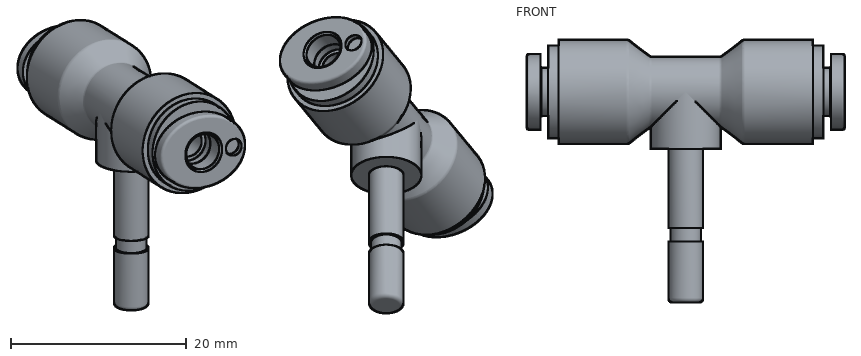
import cadquery as cq

HALF_LENGTH = 18.1
TOTAL_HEIGHT = 29.95

BODY_DIA = 11.9
BODY_HALF = 14.48
WAIST_DIA = 8.0
CONE_FOOT_X = 4.0
CONE_TOP_X = 6.55
CONE_FOOT_ROUND = 0.35
CONE_TOP_ROUND = 0.55
BRANCH_BOTTOM_Z = -6.48
FLOW_BORE_DIA = 3.2

STEM_DIA = 4.0
STEM_BOTTOM_Z = BODY_DIA / 2 - TOTAL_HEIGHT
STEM_END_ROUND = 0.5
GROOVE_DIA = 3.5
GROOVE_TOP_Z = -15.5
GROOVE_WIDTH = 1.52

RING_DIA = 10.6
RING_WIDTH = 1.2

FLANGE_WIDTH = 10.82
FLANGE_HEIGHT = 8.65
FLANGE_THICKNESS = 1.6
FLANGE_ROUND = 0.3
NECK_DIA = 5.5
NECK_ROOT_BEVEL = 0.1
TUBE_BORE_DIA = 4.2
TUBE_BORE_DEPTH = 2.43
TUBE_BORE_CHAMFER = 0.25
INNER_BORE_DIA = 4.15
DIMPLE_DIA = 2.0
DIMPLE_OFFSET = 3.85
DIMPLE_DEPTH = 0.72

FLANGE_BACK_X = HALF_LENGTH - FLANGE_THICKNESS


def x_cylinder(diameter, start, end):
    """Round bar on the run axis between two X positions."""
    return cq.Workplane("YZ", origin=(start, 0, 0)).circle(diameter / 2).extrude(end - start)


def z_cylinder(diameter, start, end):
    """Round bar on the stem axis between two Z positions."""
    return cq.Workplane("XY", origin=(0, 0, start)).circle(diameter / 2).extrude(end - start)


def circle_at(x, radius):
    """Selector for the circular edge around the run axis at one X position."""
    margin = 0.018
    corner = radius + margin
    return cq.selectors.BoxSelector(
        (x - margin, -corner, -corner), (x + margin, corner, corner), boundingbox=True
    )


def make_half_run():
    """+X half of the run: waist, blended cone and enlarged end."""
    profile = [
        (0, 0),
        (0, WAIST_DIA / 2),
        (CONE_FOOT_X, WAIST_DIA / 2),
        (CONE_TOP_X, BODY_DIA / 2),
        (BODY_HALF, BODY_DIA / 2),
        (BODY_HALF, 0),
    ]
    half_run = cq.Workplane("XY").polyline(profile).close().revolve(360, (0, 0, 0), (1, 0, 0))
    half_run = half_run.edges(circle_at(CONE_TOP_X, BODY_DIA / 2)).fillet(CONE_TOP_ROUND)
    return half_run.edges(circle_at(CONE_FOOT_X, WAIST_DIA / 2)).fillet(CONE_FOOT_ROUND)


def make_stem():
    """Plug-in stem with a retaining groove and a rounded free end."""
    stem = z_cylinder(STEM_DIA, STEM_BOTTOM_Z, 0).faces("<Z").edges().fillet(STEM_END_ROUND)
    groove_bottom_z = GROOVE_TOP_Z - GROOVE_WIDTH
    groove = z_cylinder(STEM_DIA, groove_bottom_z, GROOVE_TOP_Z)
    groove = groove.cut(z_cylinder(GROOVE_DIA, groove_bottom_z, GROOVE_TOP_Z))
    return stem.cut(groove)


def make_body():
    """Tee housing with its branch, stem and flow bore."""
    half_run = make_half_run()
    run = half_run.union(half_run.mirror("YZ"))
    branch = z_cylinder(WAIST_DIA, BRANCH_BOTTOM_Z, 0)
    flow_bore = x_cylinder(FLOW_BORE_DIA, -BODY_HALF, BODY_HALF)
    return run.union(branch).union(make_stem()).cut(flow_bore)


def make_ring():
    """Ring on the +X end face of the body, around the collar neck."""
    ring_outer_x = BODY_HALF + RING_WIDTH
    ring = x_cylinder(RING_DIA, BODY_HALF, ring_outer_x)
    return ring.cut(x_cylinder(NECK_DIA, BODY_HALF, ring_outer_x))


def make_collar():
    """Release collar of the +X end: oval flange, round neck, stepped bore and dimple."""
    flange = (
        cq.Workplane("YZ", origin=(FLANGE_BACK_X, 0, 0))
        .ellipse(FLANGE_WIDTH / 2, FLANGE_HEIGHT / 2)
        .extrude(FLANGE_THICKNESS)
        .faces(">X").edges().fillet(FLANGE_ROUND)
    )
    collar = flange.union(x_cylinder(NECK_DIA, BODY_HALF, FLANGE_BACK_X))
    collar = collar.edges(circle_at(FLANGE_BACK_X, NECK_DIA / 2)).chamfer(NECK_ROOT_BEVEL)

    bore_step_x = HALF_LENGTH - TUBE_BORE_DEPTH
    collar = collar.cut(x_cylinder(INNER_BORE_DIA, BODY_HALF, bore_step_x))
    collar = collar.cut(x_cylinder(TUBE_BORE_DIA, bore_step_x, HALF_LENGTH))
    collar = collar.edges(circle_at(HALF_LENGTH, TUBE_BORE_DIA / 2)).chamfer(TUBE_BORE_CHAMFER)

    dimple = x_cylinder(DIMPLE_DIA, HALF_LENGTH - DIMPLE_DEPTH, HALF_LENGTH)
    return collar.cut(dimple.translate((0, DIMPLE_OFFSET, 0)))


def turned(part, angle):
    """Solid of a part turned about the stem axis."""
    return part.rotate((0, 0, 0), (0, 0, 1), angle).solids().val()


body = make_body()

rings = []
collars = []
for end_angle in (0, 180):
    rings.append(turned(make_ring(), end_angle))
    collars.append(turned(make_collar(), end_angle))

result = cq.Compound.makeCompound([body.solids().val(), *rings, *collars])